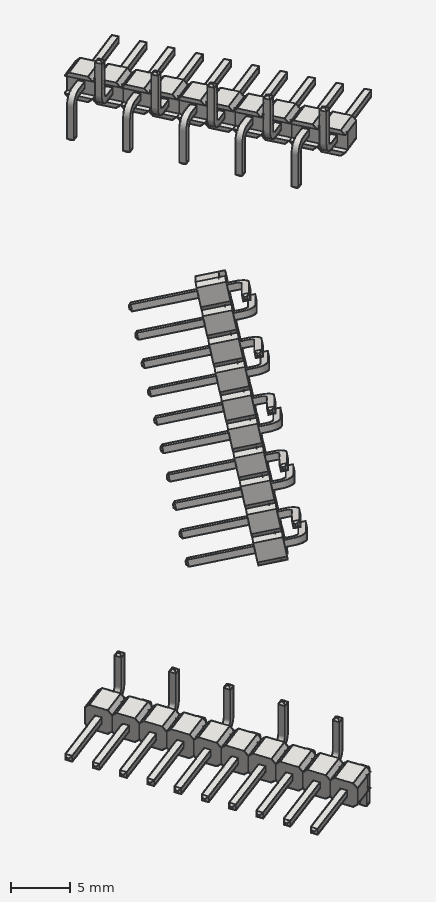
import cadquery as cq


UNIT_COUNT = 10
PITCH = 2.55

BLOCK_HEIGHT = PITCH
BLOCK_DEPTH = 2.55
BLOCK_CHAMFER = 0.4
RECESS_DEPTH = 0.55

PIN_WIDTH = 0.64
PIN_BACK_REACH = 5.97
PIN_FRONT_REACH = 1.85
TAIL_HEIGHT = 4.27
BEND_INNER_RADIUS = 0.48
TIP_CHAMFER = 0.2

FRONT_Y = -BLOCK_DEPTH / 2
BACK_Y = BLOCK_DEPTH / 2
HALF_PIN = PIN_WIDTH / 2
STRAIGHT_TIP_Y = BACK_Y + PIN_BACK_REACH
TAIL_AXIS_Y = FRONT_Y - PIN_FRONT_REACH + HALF_PIN
BEND_RADIUS = BEND_INNER_RADIUS + HALF_PIN


def make_block():
    """Chamfered block with a recess across its front between two flanges."""
    block = (
        cq.Workplane("XY")
        .box(PITCH, BLOCK_DEPTH, BLOCK_HEIGHT)
        .edges("|Y")
        .chamfer(BLOCK_CHAMFER)
    )
    recess = cq.Workplane("XY").box(
        PITCH, RECESS_DEPTH, BLOCK_HEIGHT - 2 * BLOCK_CHAMFER
    )
    return block.cut(recess.translate((0, FRONT_Y + RECESS_DEPTH / 2, 0)))


def make_pin():
    """Square pin along Y, bent at the front so that its tail points up."""
    path = (
        cq.Workplane("YZ")
        .moveTo(STRAIGHT_TIP_Y, 0)
        .lineTo(TAIL_AXIS_Y + BEND_RADIUS, 0)
        .tangentArcPoint((TAIL_AXIS_Y, BEND_RADIUS), relative=False)
        .lineTo(TAIL_AXIS_Y, TAIL_HEIGHT)
    )
    pin = (
        cq.Workplane("XZ", origin=(0, STRAIGHT_TIP_Y, 0))
        .rect(PIN_WIDTH, PIN_WIDTH)
        .sweep(path)
    )
    for end_face in (">Y", ">Z"):
        pin = pin.faces(end_face).chamfer(TIP_CHAMFER)
    return pin


def make_unit(index):
    """One unit of the row: a block and its pin as one solid, even units with the tail down."""
    pin = make_pin()
    if index % 2 == 0:
        pin = pin.mirror("XY")
    unit_x = (index - (UNIT_COUNT - 1) / 2) * PITCH
    return make_block().union(pin).translate((unit_x, 0, 0))


units = [make_unit(index) for index in range(UNIT_COUNT)]

result = cq.Compound.makeCompound([unit.solids().val() for unit in units])